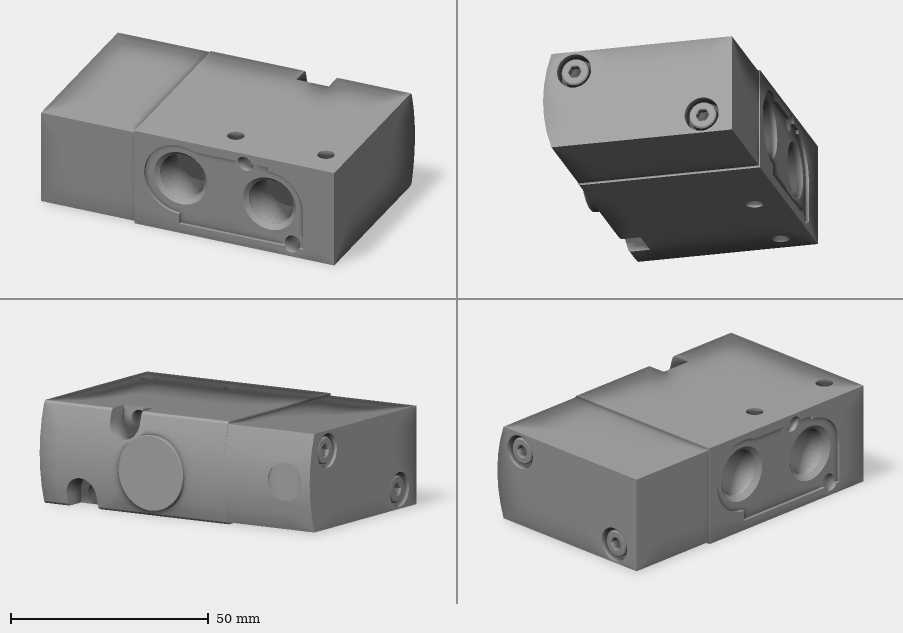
import cadquery as cq
import math

total_length = 81.5
cap_length = 26.0
body_height = 26.5
mid_height = body_height / 2

crown_y = 49.8
back_edge_y = 47.2
edge_bevel = 0.6

cap_inset_z = 0.6
cap_front_y = 0.25
cap_back_edge_y = 47.6
spotface_diameter = 10.0
spotface_x = 7.6
spotface_floor_y = 49.5

pad_diameter = 19.5
pad_x = 47.6
pad_z = 11.5
pad_top_y = 50.5
pad_base_y = 47.3
pad_chamfer = 0.2

port_mouth_diameter = 14.75
port_diameter = 12.5
port_floor_diameter = 12.1
port_depth = 11.4
port_chamfer = (port_mouth_diameter - port_diameter) / 2
left_port_x = 38.5
left_port_z = 15.15
right_port_x = 63.1
right_port_z = mid_height

recess_depth = 0.9
recess_radius = pad_diameter / 2
recess_top_z = 24.05
recess_bottom_z = 2.6
recess_corner_radius = 0.3

mount_hole_diameter = 4.3
mount_hole_places = [(56.6, 23.5), (69.6, 3.35)]
counterbore_diameter = 9.0
counterbore_floor_y = 42.05
cross_hole_diameter = 4.4
cross_hole_places = [(50.5, 8.15), (75.55, 8.15)]

screw_places = [(41.65, 20.7), (8.15, 5.55)]
screw_bore_diameter = 9.0
screw_head_diameter = 7.0
screw_head_height = 4.0
screw_head_sink = 0.6
screw_head_chamfer = 0.3
screw_bore_depth = screw_head_sink + screw_head_height
socket_width = 3.0
socket_mouth_diameter = 3.6
socket_mouth_depth = 0.2
socket_turn = 30
socket_depth = 2.0
socket_cone_depth = 1.0


def crowned_section(x_start, length, front_y, edge_y, bottom_z, bevel):
    """Block along X whose back face bulges to the crown line."""
    top_z = body_height - bottom_z
    section = cq.Workplane("YZ", origin=(x_start, 0, 0)).moveTo(front_y, bottom_z).lineTo(edge_y, bottom_z)
    if bevel:
        section = section.lineTo(edge_y + bevel, bottom_z + bevel)
    section = section.threePointArc((crown_y, mid_height), (edge_y + bevel, top_z - bevel))
    if bevel:
        section = section.lineTo(edge_y, top_z)
    return section.lineTo(front_y, top_z).close().extrude(length)


def cylinder_along_y(x, z, diameter, y_start, y_end):
    start = cq.Vector(x, y_start, z)
    return cq.Workplane(cq.Solid.makeCylinder(diameter / 2, y_end - y_start, start, cq.Vector(0, 1, 0)))


def port(x, z):
    """Tapered port bore with a chamfered mouth in the recess floor."""
    inward = cq.Vector(0, 1, 0)
    mouth_origin = cq.Vector(x, recess_depth, z)
    bore = cq.Solid.makeCone(port_diameter / 2, port_floor_diameter / 2, port_depth, mouth_origin, inward)
    mouth = cq.Solid.makeCone(port_mouth_diameter / 2, port_diameter / 2, port_chamfer, mouth_origin, inward)
    return cq.Workplane(bore).union(cq.Workplane(mouth))


def gasket_recess():
    """Flat pocket bounded by arcs about both ports."""
    arc_rise = recess_top_z - left_port_z
    arc_end_x = left_port_x + math.sqrt(recess_radius**2 - arc_rise**2)
    diagonal = recess_radius * math.sqrt(0.5)
    outline = (
        cq.Workplane("XZ")
        .moveTo(left_port_x, recess_bottom_z)
        .lineTo(left_port_x, left_port_z - recess_radius)
        .threePointArc((left_port_x - recess_radius, left_port_z), (arc_end_x, recess_top_z))
        .lineTo(right_port_x - recess_corner_radius, recess_top_z)
        .radiusArc((right_port_x, recess_top_z - recess_corner_radius), recess_corner_radius)
        .lineTo(right_port_x, right_port_z + recess_radius)
        .threePointArc((right_port_x + diagonal, right_port_z + diagonal),
                       (right_port_x + recess_radius, right_port_z))
        .lineTo(right_port_x + recess_radius, recess_bottom_z)
        .close()
    )
    return outline.extrude(-recess_depth)


def counterbore_slot(x, z):
    """Round-bottomed counterbore that opens straight through the nearer of the top and bottom faces."""
    open_z = body_height if z > mid_height else 0
    slot_length = pad_top_y - counterbore_floor_y
    opening = cq.Workplane("XY").box(counterbore_diameter, slot_length, abs(open_z - z)).translate(
        (x, counterbore_floor_y + slot_length / 2, (open_z + z) / 2)
    )
    return cylinder_along_y(x, z, counterbore_diameter, counterbore_floor_y, pad_top_y).union(opening)


def make_housing():
    housing = crowned_section(cap_length, total_length - cap_length, 0, back_edge_y, 0, edge_bevel)
    pad = cylinder_along_y(pad_x, pad_z, pad_diameter, pad_base_y, pad_top_y)
    housing = housing.union(pad.faces(">Y").chamfer(pad_chamfer))
    housing = housing.cut(gasket_recess())
    housing = housing.cut(port(left_port_x, left_port_z)).cut(port(right_port_x, right_port_z))
    for x, z in mount_hole_places:
        housing = housing.cut(cylinder_along_y(x, z, mount_hole_diameter, 0, pad_top_y))
        housing = housing.cut(counterbore_slot(x, z))
    cross_holes = (
        cq.Workplane("XY").pushPoints(cross_hole_places).circle(cross_hole_diameter / 2).extrude(body_height)
    )
    return housing.cut(cross_holes)


def make_cap():
    cap = crowned_section(0, cap_length, cap_front_y, cap_back_edge_y, cap_inset_z, 0)
    cap = cap.cut(cylinder_along_y(spotface_x, mid_height, spotface_diameter, spotface_floor_y, pad_top_y))
    screw_bores = (
        cq.Workplane("YZ").pushPoints(screw_places).circle(screw_bore_diameter / 2).extrude(screw_bore_depth)
    )
    return cap.cut(screw_bores)


def make_screw(y, z):
    """Round screw head seated on its bore floor, with a hexagon socket ending in a cone."""
    head = (
        cq.Workplane("YZ", origin=(screw_head_sink, y, z))
        .circle(screw_head_diameter / 2)
        .extrude(screw_head_height)
        .faces("<X")
        .chamfer(screw_head_chamfer)
    )
    socket = (
        cq.Workplane("YZ", origin=(screw_head_sink, y, z))
        .transformed(rotate=(0, 0, socket_turn))
        .polygon(6, socket_width, circumscribed=True)
        .extrude(socket_depth)
    )
    inward = cq.Vector(1, 0, 0)
    mouth = cq.Solid.makeCone(socket_mouth_diameter / 2, socket_width / 2, socket_mouth_depth,
                              cq.Vector(screw_head_sink, y, z), inward)
    tip = cq.Solid.makeCone(socket_width / 2, 0, socket_cone_depth,
                            cq.Vector(screw_head_sink + socket_depth, y, z), inward)
    return head.cut(socket).cut(cq.Workplane(mouth)).cut(cq.Workplane(tip))


housing = make_housing()
cap = make_cap()
screws = [make_screw(y, z) for y, z in screw_places]

result = cq.Compound.makeCompound([housing.val(), cap.val(), *[screw.val() for screw in screws]])